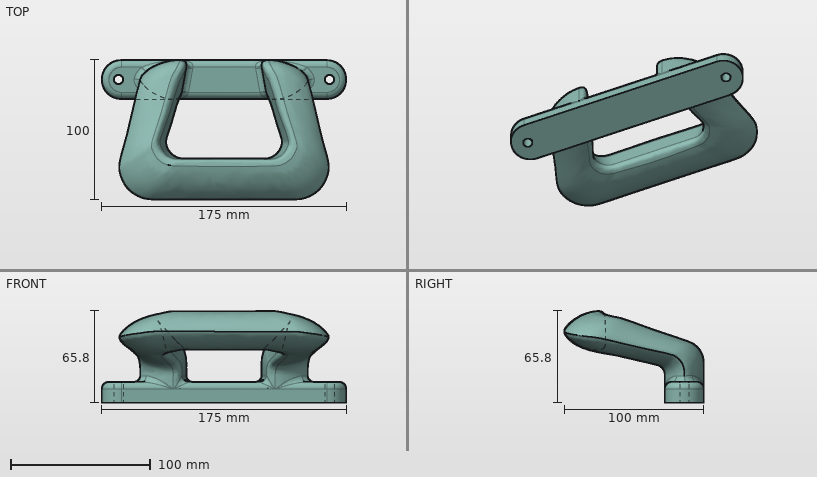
import cadquery as cq
import math

PLATE_LENGTH = 175.0
PLATE_WIDTH = 28.0
PLATE_HEIGHT = 15.0
PLATE_EDGE_RADIUS = 5.0
HOLE_DIAMETER = 6.5
HOLE_SPACING = 151.0

OVERALL_DEPTH = 100.04
LOFT_SWELL = 0.14
GRIP_TOP_Z = 65.75
WALL_EDGE_RADIUS = 5.5
NECK_FOOT_RADIUS = 4.5

LOWER_BEND_RADIUS = 7.0
UPPER_BEND_RADIUS = 16.0
CREST_BEND_RADIUS = 13.0

LOWER_CORNER_RADIUS = 12.3
UPPER_CORNER_RADIUS = 13.3
CREST_CORNER_RADIUS = 24.0

BAR_WALL_Y = -56.5

BEND_ANGLE = 71.0
CORNER_ANGLE = 90.0

WALL_FULLNESS = 0.52
CREST_FULLNESS = 0.3

STRAIGHT_STEPS = 3
ARC_STEPS = 5

half_width = PLATE_WIDTH / 2
grip_front_y = half_width - OVERALL_DEPTH + LOFT_SWELL
plate_shoulder_z = PLATE_HEIGHT - PLATE_EDGE_RADIUS


def between(start, end, steps):
    """Evenly spaced points from start up to, but not including, end."""
    start_point = cq.Vector(*start)
    step = (cq.Vector(*end) - start_point) / steps
    return [start_point + step * i for i in range(steps)]


def make_rail(
    neck_x, arm_x, bend_y, bend_z, bend_radius, corner_x, corner_y, corner_radius, arm_end_z, bar_z, bar_y
):
    """Points along one lengthwise edge of the right half: neck, bend, arm, corner and half the bar.

    bend_y and bend_z place the centre of the bend, corner_x and corner_y that of the corner.
    """
    bend = []
    for i in range(ARC_STEPS + 1):
        share = i / ARC_STEPS
        angle = math.radians(BEND_ANGLE * share)
        x = neck_x + (arm_x - neck_x) * share ** 2
        y = bend_y + bend_radius * math.cos(angle)
        z = bend_z + bend_radius * math.sin(angle)
        bend.append((x, y, z))

    corner = []
    for i in range(ARC_STEPS + 1):
        share = i / ARC_STEPS
        angle = math.radians(CORNER_ANGLE * share)
        x = corner_x + corner_radius * math.cos(angle)
        y = corner_y - corner_radius * math.sin(angle)
        z = arm_end_z + (bar_z - arm_end_z) * share
        corner.append((x, y, z))

    neck_foot = (neck_x, bend_y + bend_radius, plate_shoulder_z)
    bar_middle = (0, bar_y, bar_z)
    points = between(neck_foot, bend[0], STRAIGHT_STEPS)
    points += [cq.Vector(*point) for point in bend[:-1]]
    points += between(bend[-1], corner[0], STRAIGHT_STEPS)
    points += [cq.Vector(*point) for point in corner[:-1]]
    points += between(corner[-1], bar_middle, STRAIGHT_STEPS)
    points.append(cq.Vector(*bar_middle))
    return points


lower_rail = make_rail(
    neck_x=31, arm_x=32.8,
    bend_y=-half_width - LOWER_BEND_RADIUS, bend_z=20.5, bend_radius=LOWER_BEND_RADIUS,
    corner_x=28, corner_y=-44, corner_radius=LOWER_CORNER_RADIUS,
    arm_end_z=34, bar_z=38, bar_y=BAR_WALL_Y,
)
upper_rail = make_rail(
    neck_x=26, arm_x=31.8,
    bend_y=half_width - UPPER_BEND_RADIUS, bend_z=29, bend_radius=UPPER_BEND_RADIUS,
    corner_x=34, corner_y=-43.7, corner_radius=UPPER_CORNER_RADIUS,
    arm_end_z=61, bar_z=GRIP_TOP_Z, bar_y=BAR_WALL_Y,
)
crest_rail = make_rail(
    neck_x=60, arm_x=62.3,
    bend_y=-CREST_BEND_RADIUS, bend_z=22, bend_radius=CREST_BEND_RADIUS,
    corner_x=51, corner_y=grip_front_y + CREST_CORNER_RADIUS, corner_radius=CREST_CORNER_RADIUS,
    arm_end_z=46.5, bar_z=51, bar_y=grip_front_y,
)


def make_plate():
    plate = cq.Workplane("XY").slot2D(PLATE_LENGTH, PLATE_WIDTH).extrude(PLATE_HEIGHT)
    return plate.faces(">Z").edges().fillet(PLATE_EDGE_RADIUS)


def section_wire(lower, upper, crest):
    """Flat inner wall with two rounded corners, closed by two flanks meeting at the crest."""
    up = (upper - lower).normalized()
    down = up * -1
    outward = (crest - (lower + upper) * 0.5).normalized()

    def corner(point, inward):
        return [point + inward * WALL_EDGE_RADIUS, point, point + outward * WALL_EDGE_RADIUS]

    def flank(start, inward):
        leg = (crest - start).dot(outward)
        rise = (crest - start).dot(inward)
        wall_control = start + outward * (leg * WALL_FULLNESS)
        crest_control = crest - inward * (rise * CREST_FULLNESS)
        return [start, wall_control, crest_control, crest]

    upper_corner = corner(upper, down)
    lower_corner = corner(lower, up)
    upper_flank = flank(upper_corner[-1], down)
    lower_flank = flank(lower_corner[-1], up)
    return cq.Wire.assembleEdges([
        cq.Edge.makeLine(lower_corner[0], upper_corner[0]),
        cq.Edge.makeBezier(upper_corner),
        cq.Edge.makeBezier(upper_flank),
        cq.Edge.makeBezier(lower_flank[::-1]),
        cq.Edge.makeBezier(lower_corner[::-1]),
    ])


def mirrored(point):
    return cq.Vector(-point.x, point.y, point.z)


def make_grip():
    """Loft through the right half's sections, then back through their mirror images to the left foot."""
    right_half = list(zip(lower_rail, upper_rail, crest_rail))
    left_half = [[mirrored(point) for point in points] for points in reversed(right_half[:-1])]
    wires = [section_wire(*points) for points in right_half + left_half]
    lofted = cq.occ_impl.shapes.loft(
        wires, cap=True, compat=False, continuity="C1", parametrization="centripetal"
    )
    return cq.Workplane(lofted)


def fillet_neck_foot(body, side):
    """Round the joint between one neck and the plate; the fillet follows the whole tangent joint."""
    wall_x = side * (lower_rail[0].x + upper_rail[0].x) / 2
    joint = cq.selectors.NearestToPointSelector((wall_x, 0, PLATE_HEIGHT))
    return body.edges(joint).fillet(NECK_FOOT_RADIUS)


def drill_mounting_holes(body):
    holes = (
        cq.Workplane("XY")
        .pushPoints([(-HOLE_SPACING / 2, 0), (HOLE_SPACING / 2, 0)])
        .circle(HOLE_DIAMETER / 2)
        .extrude(PLATE_HEIGHT)
    )
    return body.cut(holes)


handle = make_plate().union(make_grip())
for side in (-1, 1):
    handle = fillet_neck_foot(handle, side)
result = drill_mounting_holes(handle)